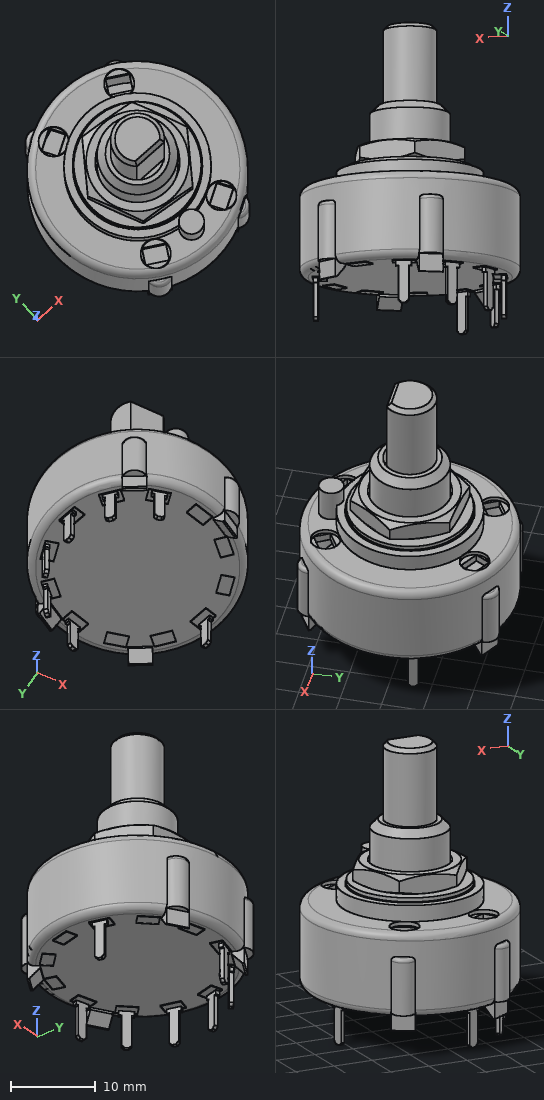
import cadquery as cq
import math


base_z = 5.1
shoulder_z = 17.58
washer_bottom = 17.65
washer_top = 18.15
nut_top = 20.55
bushing_top = 25.55
shaft_top = 35.1

body_radius = 26.0 / 2
body_top = 15.58
body_fillet = 1.0
shoulder_radius = 8.65
recess_radius = 7.65
recess_depth = 0.5
wall_thickness = 1.02
roof_thickness = 1.4
cavity_radius = body_radius - wall_thickness
cavity_floor = base_z + wall_thickness
cavity_ceiling = body_top - roof_thickness

post_radius = 3.0 / 2
post_offset = 9.5
post_top = 19.55

bushing_radius = 9.5 / 2
bushing_chamfer = 1.0
bushing_bore_depth = 2.0
washer_radius = 15.0 / 2
nut_corner_radius = 7.15
nut_face_radius = 6.05
nut_chamfer_height = 0.53
nut_bore_radius = 9.93 / 2
collar_radius = 5.15
nut_sides = 6
nut_angle = -6.5

shaft_radius = 6.35 / 2
shaft_flat = 2.3
shaft_chamfer = 0.53

snap_angles = [60, 120, 240, 300]
pocket_radius = 3.55 / 2
pocket_offset = 10.4
pocket_depth = 0.5
window_width = 2.88
window_length = 2 * math.sqrt(pocket_radius**2 - (window_width / 2) ** 2)
rib_radius = 1.58
rib_offset = 12.2
rib_top = 12.6
rib_bottom = 5.55
rib_fillet = 0.5
foot_outer = 12.9
foot_width = window_width
foot_bottom = 3.45
foot_depth_top = 1.55
foot_slope_top = 4.77
foot_depth_bottom = 0.25

pad_count = 12
pad_first_angle = 15
pad_step = 360 / pad_count
pad_height = 0.1
pad_width = 2.65
pad_inner = 9.83
pad_outer = 11.45
pin_angles = [15, 105, 135, 165, 195, 225, 255]
pin_ring_radius = 11.1
pin_width = 1.23
pin_thickness = 0.53
pin_tip_chamfer = 0.35
pin_shoulder_width = 1.85
pin_shoulder_z = 4.42

overlap = 0.35


def cylinder(radius, bottom, top):
    return cq.Workplane("XY").workplane(offset=bottom).circle(radius).extrude(top - bottom)


def box(x_range, width, z_range):
    """Box centred on Y, spanning the given X and Z ranges."""
    x_min, x_max = x_range
    z_min, z_max = z_range
    return (
        cq.Workplane("XY")
        .box(x_max - x_min, width, z_max - z_min, centered=(False, True, False))
        .translate((x_min, 0, z_min))
    )


def turned(shape, angle):
    return shape.rotate((0, 0, 0), (0, 0, 1), angle)


def make_housing():
    body = cylinder(body_radius, base_z, body_top).edges().fillet(body_fillet)
    shoulder = cylinder(shoulder_radius, body_top - overlap, shoulder_z)
    recess = cylinder(recess_radius, shoulder_z - recess_depth, shoulder_z)
    post = cylinder(post_radius, body_top - overlap, post_top).translate((0, -post_offset, 0))
    return body.union(shoulder).cut(recess).union(post)


def make_bushing():
    """Bushing with a collar that carries the washer and a bore that clears the shaft flat."""
    bushing = cylinder(bushing_radius, body_top, bushing_top)
    collar = cylinder(collar_radius, body_top, washer_bottom)
    bore = cylinder(shaft_radius, bushing_top - bushing_bore_depth, bushing_top)
    return bushing.faces(">Z").chamfer(bushing_chamfer).cut(bore).union(collar)


def make_washer():
    washer = cylinder(washer_radius, washer_bottom, washer_top)
    return washer.cut(cylinder(nut_bore_radius, washer_bottom, washer_top))


def make_nut():
    height = nut_top - washer_top
    hexagon = cq.Workplane("XY").polygon(nut_sides, 2 * nut_corner_radius).extrude(height)
    chamfer_envelope = (
        cq.Workplane("XZ")
        .moveTo(nut_bore_radius, 0)
        .lineTo(nut_face_radius, 0)
        .lineTo(nut_corner_radius, nut_chamfer_height)
        .lineTo(nut_corner_radius, height - nut_chamfer_height)
        .lineTo(nut_face_radius, height)
        .lineTo(nut_bore_radius, height)
        .close()
        .revolve(360, (0, 0, 0), (0, 1, 0))
    )
    nut = hexagon.intersect(chamfer_envelope)
    return turned(nut, nut_angle).translate((0, 0, washer_top))


def make_shaft():
    bottom = bushing_top - bushing_bore_depth
    shaft = cylinder(shaft_radius, bottom, shaft_top)
    flat_waste = box((-shaft_radius, shaft_radius), shaft_radius, (bottom, shaft_top))
    shaft = shaft.cut(flat_waste.translate((0, -shaft_flat - shaft_radius / 2, 0)))
    return shaft.faces(">Z").chamfer(shaft_chamfer)


def make_snap_pocket():
    """Round pocket in the top of the housing with a window through to the cavity, on +X."""
    pocket = cylinder(pocket_radius, body_top - pocket_depth, body_top).translate((pocket_offset, 0, 0))
    half_length = window_length / 2
    window = box(
        (pocket_offset - half_length, pocket_offset + half_length),
        window_width,
        (cavity_ceiling, body_top - pocket_depth),
    )
    return pocket.union(window)


def make_snap():
    """Rounded rib on the side of the housing and the hooked foot below it, on +X."""
    rib = cylinder(rib_radius, rib_bottom, rib_top).faces(">Z").edges().fillet(rib_fillet)
    rib = rib.translate((rib_offset, 0, 0))
    foot = (
        cq.Workplane("XZ")
        .moveTo(foot_outer, foot_bottom)
        .lineTo(foot_outer, rib_bottom)
        .lineTo(foot_outer - foot_depth_top, rib_bottom)
        .lineTo(foot_outer - foot_depth_top, foot_slope_top)
        .lineTo(foot_outer - foot_depth_bottom, foot_bottom)
        .close()
        .extrude(foot_width / 2, both=True)
    )
    return rib.union(foot)


def make_pad():
    """Shallow pad on the underside of the housing, on +X."""
    return box((pad_inner, pad_outer), pad_width, (base_z - pad_height, base_z + overlap))


def make_pin():
    """Flat terminal with a wider shoulder, facing +X."""
    half_thickness = pin_thickness / 2
    x_range = (pin_ring_radius - half_thickness, pin_ring_radius + half_thickness)
    blade = box(x_range, pin_width, (0, base_z))
    blade = blade.faces("<Z").edges("|X").chamfer(pin_tip_chamfer)
    return blade.union(box(x_range, pin_shoulder_width, (pin_shoulder_z, base_z + overlap)))


result = make_housing()

snap = make_snap()
for angle in snap_angles:
    result = result.union(turned(snap, angle))
result = result.cut(cylinder(cavity_radius, cavity_floor, cavity_ceiling))

snap_pocket = make_snap_pocket()
for angle in snap_angles:
    result = result.cut(turned(snap_pocket, angle))

pad = make_pad()
for index in range(pad_count):
    result = result.union(turned(pad, pad_first_angle + index * pad_step))

pin = make_pin()
for angle in pin_angles:
    result = result.union(turned(pin, angle))

for part in (make_bushing(), make_washer(), make_nut(), make_shaft()):
    result = result.union(part)